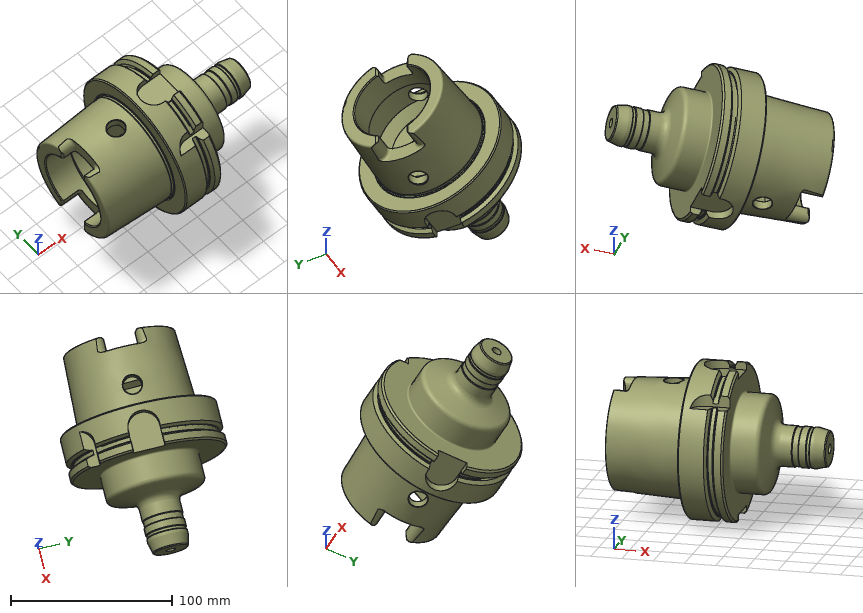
import cadquery as cq
import math


FLANGE_FACE_X = 50.0
TAPER_END_X = 48.0
TAPER_END_RADIUS = 38.0
TAPER_SLOPE = 0.05
SHANK_RIM_ROUNDING = 1.5
RELIEF_RADIUS = 75.42 / 2
RELIEF_START_X = 48.5
UNDERCUT_FILLET = 0.8
UNDERCUT_DEPTH = 0.4
UNDERCUT_OUTER_RADIUS = 39.2

FLANGE_RADIUS = 50.0
FLANGE_LENGTH = 29.0
FLANGE_CHAMFER = 0.8
FLANGE_REAR_CHAMFER = 1.2
GROOVE_CENTRE_X = 70.0
GROOVE_FLOOR_RADIUS = 46.0
GROOVE_FLOOR_WIDTH = 3.5
GROOVE_V_BOTTOM_RADIUS = 47.4
GROOVE_FLOOR_FILLET = 0.5
GROOVE_WALL_ANGLE = 30.0

NECK_RADIUS = 63.0 / 2
NECK_ROOT_FILLET = 1.0
CONE_SMALL_END_X = 102.1
CONE_ANGLE = 15.0
NECK_EDGE_FILLET = 3.0
SPIGOT_ROOT_FILLET = 5.0

TOTAL_LENGTH = 135.0
SPIGOT_RADIUS = 26.0 / 2
SPIGOT_GROOVE_RADIUS = 25.0 / 2
SPIGOT_GROOVES = [(113.6, 118.2), (122.6, 125.2)]
SPIGOT_TAPER_START_X = 127.5
SPIGOT_TIP_RADIUS = 11.4
SPIGOT_TIP_CHAMFER = 0.7

MOUTH_RADIUS = 53.0 / 2
MOUTH_CHAMFER = 0.7
MOUTH_LENGTH = 19.7
CAVITY_RADIUS = 63.0 / 2
CAVITY_LEAD_ANGLE = 60.0
CAVITY_FLOOR_X = 46.8
CAVITY_FLOOR_RADIUS = 25.0
TUBE_BORE_RADIUS = 22.38 / 2
TUBE_BORE_DEPTH = 15.0
COOLANT_RADIUS = 6.0 / 2

CROSS_HOLE_X = 35.0
CROSS_HOLE_RADIUS = 12.0 / 2
CROSS_HOLE_CHAMFER = 0.3

DRIVE_SLOT_HALF_WIDTH = 20.0 / 2
DRIVE_SLOT_DEPTH_TOP = 10.0
DRIVE_SLOT_DEPTH_BOTTOM = 14.7
DRIVE_SLOT_FLOOR_FILLET = 2.0
DRIVE_SLOT_MOUTH_CHAMFER = 1.4
DRIVE_SLOT_SIDE_TOP_Z = 27.4
DRIVE_SLOT_SIDE_ROUNDING = 5.0

KEYWAY_CUTTER_RADIUS = 10.0
KEYWAY_CENTRE_X = 65.0
KEYWAY_FLOOR_Z = 44.0
NOTCH_OFFSET = NECK_RADIUS


def revolve_about_x(profile):
    """Revolve a closed profile, drawn as (x, radius), about the X axis."""
    return profile.close().revolve(360, (0, 0, 0), (1, 0, 0))


def turned_body():
    flange_end_x = FLANGE_FACE_X + FLANGE_LENGTH
    rim_radius = TAPER_END_RADIUS - TAPER_SLOPE * TAPER_END_X
    rise = NECK_RADIUS - SPIGOT_RADIUS
    cone_large_end_x = CONE_SMALL_END_X - rise * math.tan(math.radians(CONE_ANGLE))

    shank_profile = (
        cq.Workplane("XY")
        .lineTo(0, rim_radius)
        .lineTo(TAPER_END_X, TAPER_END_RADIUS)
        .lineTo(RELIEF_START_X, RELIEF_RADIUS)
        .lineTo(FLANGE_FACE_X, RELIEF_RADIUS)
        .lineTo(FLANGE_FACE_X, 0)
    )
    shank = revolve_about_x(shank_profile).faces("<X").edges().fillet(SHANK_RIM_ROUNDING)

    flange_profile = (
        cq.Workplane("XY")
        .moveTo(FLANGE_FACE_X, 0)
        .lineTo(FLANGE_FACE_X, FLANGE_RADIUS - FLANGE_CHAMFER)
        .lineTo(FLANGE_FACE_X + FLANGE_CHAMFER, FLANGE_RADIUS)
        .lineTo(flange_end_x - FLANGE_REAR_CHAMFER, FLANGE_RADIUS)
        .lineTo(flange_end_x, FLANGE_RADIUS - FLANGE_REAR_CHAMFER)
        .lineTo(flange_end_x, 0)
    )
    flange = revolve_about_x(flange_profile)

    neck_profile = (
        cq.Workplane("XY")
        .moveTo(flange_end_x, 0)
        .lineTo(flange_end_x, NECK_RADIUS)
        .lineTo(cone_large_end_x, NECK_RADIUS)
        .lineTo(CONE_SMALL_END_X, SPIGOT_RADIUS)
        .lineTo(SPIGOT_TAPER_START_X, SPIGOT_RADIUS)
        .lineTo(TOTAL_LENGTH - SPIGOT_TIP_CHAMFER, SPIGOT_TIP_RADIUS)
        .lineTo(TOTAL_LENGTH, SPIGOT_TIP_RADIUS - SPIGOT_TIP_CHAMFER)
        .lineTo(TOTAL_LENGTH, 0)
    )
    neck = revolve_about_x(neck_profile)
    neck = fillet_circle(neck, cone_large_end_x, NECK_EDGE_FILLET)
    neck = fillet_circle(neck, CONE_SMALL_END_X, SPIGOT_ROOT_FILLET)

    body = shank.union(flange).union(neck)
    root_box = cq.selectors.BoxSelector(
        (flange_end_x - 0.1, -NECK_RADIUS - 0.1, -NECK_RADIUS - 0.1),
        (flange_end_x + 0.1, NECK_RADIUS + 0.1, NECK_RADIUS + 0.1),
        boundingbox=True,
    )
    return body.edges(root_box).fillet(NECK_ROOT_FILLET)


def fillet_circle(solid, x, radius):
    """Round the circular edge that lies in the plane at x."""
    reach = 2 * FLANGE_RADIUS
    slab = cq.selectors.BoxSelector(
        (x - 0.1, -reach, -reach), (x + 0.1, reach, reach), boundingbox=True
    )
    return solid.edges(slab).fillet(radius)


def gripper_groove():
    half_floor = GROOVE_FLOOR_WIDTH / 2
    spread = (FLANGE_RADIUS - GROOVE_V_BOTTOM_RADIUS) * math.tan(math.radians(GROOVE_WALL_ANGLE))
    half_top = half_floor + spread
    profile = (
        cq.Workplane("XY")
        .moveTo(GROOVE_CENTRE_X - half_floor, GROOVE_FLOOR_RADIUS)
        .lineTo(GROOVE_CENTRE_X + half_floor, GROOVE_FLOOR_RADIUS)
        .lineTo(GROOVE_CENTRE_X + half_floor, GROOVE_V_BOTTOM_RADIUS)
        .lineTo(GROOVE_CENTRE_X + half_top, FLANGE_RADIUS)
        .lineTo(GROOVE_CENTRE_X - half_top, FLANGE_RADIUS)
        .lineTo(GROOVE_CENTRE_X - half_floor, GROOVE_V_BOTTOM_RADIUS)
    )
    groove = revolve_about_x(profile)
    for side in (-half_floor, half_floor):
        x = GROOVE_CENTRE_X + side
        reach = GROOVE_FLOOR_RADIUS + 0.1
        floor_edge = cq.selectors.BoxSelector(
            (x - 0.1, -reach, -reach), (x + 0.1, reach, reach), boundingbox=True
        )
        groove = groove.edges(floor_edge).fillet(GROOVE_FLOOR_FILLET)
    return groove


def flange_face_undercut():
    """Ring recess where the shank relief meets the flange face."""
    deepest_x = FLANGE_FACE_X + UNDERCUT_DEPTH
    start_x = deepest_x - UNDERCUT_FILLET
    profile = (
        cq.Workplane("XY")
        .moveTo(start_x, RELIEF_RADIUS)
        .radiusArc((deepest_x, RELIEF_RADIUS + UNDERCUT_FILLET), -UNDERCUT_FILLET)
        .lineTo(FLANGE_FACE_X, UNDERCUT_OUTER_RADIUS)
        .lineTo(start_x, UNDERCUT_OUTER_RADIUS)
    )
    return revolve_about_x(profile)


def spigot_groove(start_x, end_x):
    depth = SPIGOT_RADIUS - SPIGOT_GROOVE_RADIUS
    profile = (
        cq.Workplane("XY")
        .moveTo(start_x, SPIGOT_RADIUS)
        .lineTo(start_x + depth, SPIGOT_GROOVE_RADIUS)
        .lineTo(end_x - depth, SPIGOT_GROOVE_RADIUS)
        .lineTo(end_x, SPIGOT_RADIUS)
    )
    return revolve_about_x(profile)


def axial_bores():
    lead_length = (CAVITY_RADIUS - MOUTH_RADIUS) / math.tan(math.radians(CAVITY_LEAD_ANGLE))
    corner = CAVITY_RADIUS - CAVITY_FLOOR_RADIUS
    tube_bore_end_x = CAVITY_FLOOR_X + TUBE_BORE_DEPTH
    profile = (
        cq.Workplane("XY")
        .lineTo(0, MOUTH_RADIUS + MOUTH_CHAMFER)
        .lineTo(MOUTH_CHAMFER, MOUTH_RADIUS)
        .lineTo(MOUTH_LENGTH, MOUTH_RADIUS)
        .lineTo(MOUTH_LENGTH + lead_length, CAVITY_RADIUS)
        .lineTo(CAVITY_FLOOR_X - corner, CAVITY_RADIUS)
        .lineTo(CAVITY_FLOOR_X, CAVITY_FLOOR_RADIUS)
        .lineTo(CAVITY_FLOOR_X, TUBE_BORE_RADIUS)
        .lineTo(tube_bore_end_x, TUBE_BORE_RADIUS)
        .lineTo(tube_bore_end_x, COOLANT_RADIUS)
        .lineTo(TOTAL_LENGTH, COOLANT_RADIUS)
        .lineTo(TOTAL_LENGTH, 0)
    )
    return revolve_about_x(profile)


def cross_hole():
    outer_radius = TAPER_END_RADIUS - TAPER_SLOPE * (TAPER_END_X - CROSS_HOLE_X)
    reach = FLANGE_RADIUS
    hole = (
        cq.Workplane("XY")
        .center(CROSS_HOLE_X, 0)
        .circle(CROSS_HOLE_RADIUS)
        .extrude(reach, both=True)
    )
    rim_radius = CROSS_HOLE_RADIUS + CROSS_HOLE_CHAMFER
    sink_bottom = outer_radius - 2 * CROSS_HOLE_CHAMFER
    for side in (1, -1):
        sink = (
            cq.Workplane("XY", origin=(CROSS_HOLE_X, 0, side * sink_bottom))
            .circle(rim_radius)
            .extrude(side * (reach - sink_bottom))
        )
        hole = hole.union(sink)
    return hole


def drive_slot(depth):
    """Slot in the shank rim on the +Z side, straight near the bore and flaring outward."""
    half = DRIVE_SLOT_HALF_WIDTH
    side_top = DRIVE_SLOT_SIDE_TOP_Z
    rounding = DRIVE_SLOT_SIDE_ROUNDING
    flare_y = half + rounding
    flare_z = side_top + rounding
    outer_y = FLANGE_RADIUS
    outer_z = FLANGE_RADIUS
    slot = (
        cq.Workplane("YZ")
        .moveTo(-half, 0)
        .lineTo(half, 0)
        .lineTo(half, side_top)
        .radiusArc((flare_y, flare_z), rounding)
        .lineTo(outer_y, flare_z)
        .lineTo(outer_y, outer_z)
        .lineTo(-outer_y, outer_z)
        .lineTo(-outer_y, flare_z)
        .lineTo(-flare_y, flare_z)
        .radiusArc((-half, side_top), rounding)
        .close()
        .extrude(depth)
    )
    slot = slot.faces(">X").edges("not(<Z or >Z or <Y or >Y)").fillet(DRIVE_SLOT_FLOOR_FILLET)
    chamfer = DRIVE_SLOT_MOUTH_CHAMFER
    mouth = (
        cq.Workplane("XY")
        .moveTo(0, -half - chamfer)
        .lineTo(chamfer, -half)
        .lineTo(chamfer, half)
        .lineTo(0, half + chamfer)
        .close()
        .extrude(outer_z)
    )
    return slot.union(mouth)


def flange_cutter(centre_y, floor_z):
    """Round-ended slot, open toward +X, sunk from +Z down to floor_z."""
    end_x = FLANGE_FACE_X + FLANGE_LENGTH
    length = end_x - KEYWAY_CENTRE_X
    height = FLANGE_RADIUS - floor_z
    round_end = (
        cq.Workplane("XY", origin=(KEYWAY_CENTRE_X, centre_y, floor_z))
        .circle(KEYWAY_CUTTER_RADIUS)
        .extrude(height)
    )
    run = (
        cq.Workplane("XY", origin=(KEYWAY_CENTRE_X, centre_y, floor_z))
        .rect(length, 2 * KEYWAY_CUTTER_RADIUS)
        .extrude(height)
        .translate((length / 2, 0, 0))
    )
    return round_end.union(run)


def opposite_side(cutter):
    """Turn a cutter half a turn about the X axis."""
    return cutter.rotate((0, 0, 0), (1, 0, 0), 180)


result = turned_body().cut(axial_bores()).cut(gripper_groove()).cut(flange_face_undercut())
for groove_start, groove_end in SPIGOT_GROOVES:
    result = result.cut(spigot_groove(groove_start, groove_end))
result = result.cut(cross_hole())
result = result.cut(drive_slot(DRIVE_SLOT_DEPTH_TOP))
result = result.cut(opposite_side(drive_slot(DRIVE_SLOT_DEPTH_BOTTOM)))

keyway = flange_cutter(0, KEYWAY_FLOOR_Z)
result = result.cut(keyway).cut(opposite_side(keyway))
result = result.cut(flange_cutter(-NOTCH_OFFSET - KEYWAY_CUTTER_RADIUS, NOTCH_OFFSET))